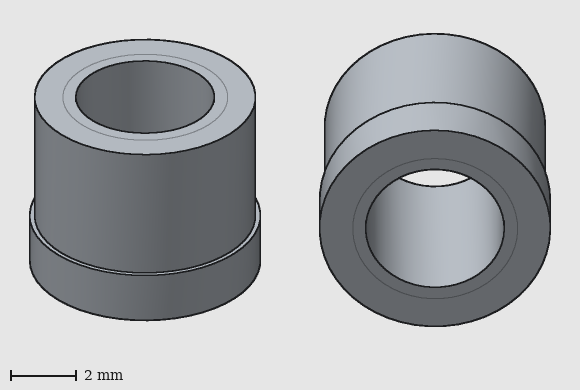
import cadquery as cq

flange_diameter = 7.0
flange_height = 1.6
body_diameter = 6.7
total_height = 5.8
liner_diameter = 5.0
bore_diameter = 4.2


def tube(outer_diameter, inner_diameter, height):
    """Hollow cylinder standing on the XY plane."""
    return cq.Workplane("XY").circle(outer_diameter / 2).circle(inner_diameter / 2).extrude(height)


def flanged_sleeve():
    """Outer sleeve: a plain body with a slightly wider flange at its foot."""
    body = tube(body_diameter, liner_diameter, total_height)
    flange = tube(flange_diameter, liner_diameter, flange_height)
    return body.union(flange)


def liner():
    """Inner bush that fills the sleeve and carries the through bore."""
    return tube(liner_diameter, bore_diameter, total_height)


result = flanged_sleeve().union(liner(), clean=False)